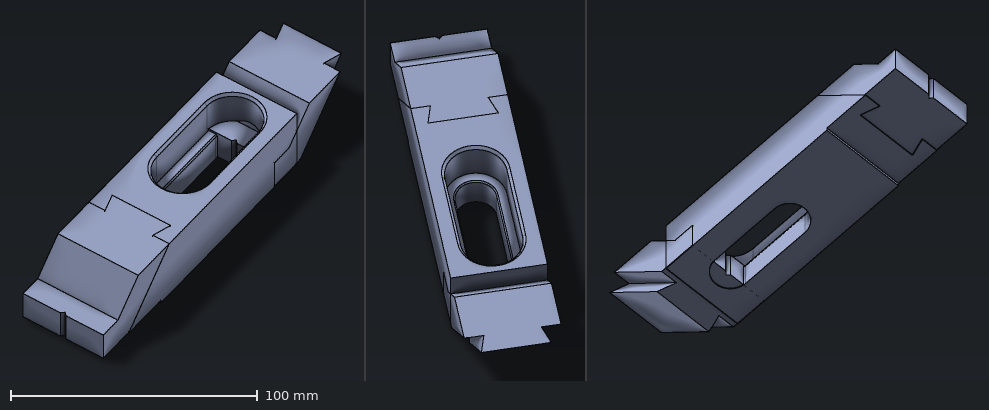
import cadquery as cq
import math


width = 40.0
total_length = 174.03

body_height = 30.0
body_rear = 135.0
toe_relief = 1.5
toe_relief_length = 40.3

jaw_height = 28.0
jaw_neck = 46.0
jaw_flat_start = 24.4
step_height = 14.2
slope_angle = 45.0
slope_run = 1 / math.tan(math.radians(slope_angle))
step_length = jaw_flat_start - step_height * slope_run
step_thickness = jaw_height - step_height
notch_depth = 1.4

tongue_depth = 8.6
tongue_neck_width = 23.8
tongue_tip_width = 29.0
jaw_tip = jaw_neck + tongue_depth

front_jaw_bottom = body_height - jaw_height
rear_jaw_bottom = 0.5
rear_jaw_shift = total_length - jaw_tip

slot_spacing = 35.0
slot_front_center = 83.2
slot_center = slot_front_center + slot_spacing / 2
pocket_width = 25.5
pocket_chamfer = 1.2
pocket_floor = 13.4
through_width = 17.0
through_chamfer = 0.6
chamfer_angle = 45.0


def across(points):
    """Extrude a side profile of (Y, Z) points over the full width."""
    return cq.Workplane("YZ").polyline(points).close().extrude(width / 2, both=True)


def dovetail(bottom, height, neck_at_bottom):
    """Dovetail bar that leans forward with the jaw's slope on its way down."""
    tip = neck_at_bottom + tongue_depth
    outline = cq.Wire.makePolygon(
        [
            cq.Vector(-tongue_neck_width / 2, neck_at_bottom, bottom),
            cq.Vector(tongue_neck_width / 2, neck_at_bottom, bottom),
            cq.Vector(tongue_tip_width / 2, tip, bottom),
            cq.Vector(-tongue_tip_width / 2, tip, bottom),
        ],
        close=True,
    )
    lean = cq.Vector(0, height * slope_run, height)
    return cq.Workplane(cq.Solid.extrudeLinear(outline, [], lean))


def make_jaw():
    """Whole jaw with its underside at Z = 0 and its end face at Y = 0."""
    neck_at_bottom = jaw_neck - jaw_height * slope_run
    block = across(
        [
            (0, 0),
            (neck_at_bottom, 0),
            (jaw_neck, jaw_height),
            (jaw_flat_start, jaw_height),
            (step_length, step_thickness),
            (0, step_thickness),
        ]
    )
    tongue = dovetail(0, jaw_height, neck_at_bottom)
    notch = (
        cq.Workplane("XY")
        .polyline([(-notch_depth, 0), (notch_depth, 0), (0, notch_depth)])
        .close()
        .extrude(step_thickness)
    )
    return block.union(tongue).cut(notch)


def slot(slot_width, bottom, top):
    """Upright round-ended slot."""
    return (
        cq.Workplane("XY", origin=(0, slot_center, bottom))
        .slot2D(slot_spacing + slot_width, slot_width, 90)
        .extrude(top - bottom)
    )


def flared_mouth(slot_width, top, chamfer):
    """Slot-shaped chamfer that opens upward to the given level."""
    return (
        cq.Workplane("XY", origin=(0, slot_center, top))
        .slot2D(slot_spacing + slot_width + 2 * chamfer, slot_width + 2 * chamfer, 90)
        .extrude(-chamfer, taper=chamfer_angle)
    )


def make_body(rear_recess):
    """Clamp body with the front dovetail groove, the slot and the recess for the rear jaw."""
    toe = jaw_neck - (body_height - toe_relief) * slope_run
    body = across(
        [
            (body_rear, 0),
            (body_rear, body_height),
            (jaw_neck, body_height),
            (toe, toe_relief),
            (toe_relief_length, toe_relief),
            (toe_relief_length, 0),
        ]
    )
    groove = dovetail(0, body_height, jaw_neck - body_height * slope_run)
    body = body.cut(groove)
    body = body.cut(slot(pocket_width, pocket_floor, body_height))
    body = body.cut(flared_mouth(pocket_width, body_height, pocket_chamfer))
    body = body.cut(slot(through_width, 0, pocket_floor))
    body = body.cut(flared_mouth(through_width, pocket_floor, through_chamfer))
    return body.cut(rear_recess)


front_jaw = make_jaw().translate((0, 0, front_jaw_bottom))

rear_jaw = make_jaw().translate((0, rear_jaw_shift, rear_jaw_bottom))
body_envelope = cq.Workplane("XY").box(width, body_rear, body_height, centered=(True, False, False))
rear_jaw_foot = rear_jaw.intersect(body_envelope)
rear_jaw_arm = rear_jaw.cut(body_envelope)

clamp_body = make_body(rear_jaw_foot)

result = cq.Compound.makeCompound(
    [
        *clamp_body.solids().vals(),
        *front_jaw.solids().vals(),
        *rear_jaw_foot.solids().vals(),
        *rear_jaw_arm.solids().vals(),
    ]
)